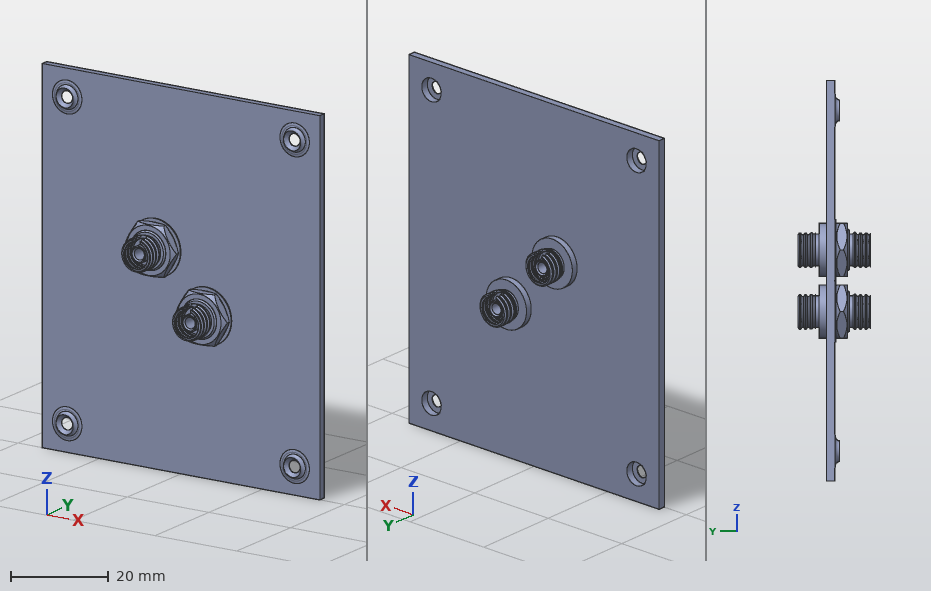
import cadquery as cq
import math

PLATE_WIDTH = 68.1
PLATE_HEIGHT = 82.0
PLATE_THICKNESS = 1.7

EYELET_X = 27.9
EYELET_Z = 34.9
EYELET_HEIGHT = 1.0
EYELET_BASE_RADIUS = 3.6
EYELET_TOP_RADIUS = 2.1
EYELET_SKIRT_RADIUS = 3.0
EYELET_SKIRT_HEIGHT = 0.12
EYELET_FLARE_RADIUS = 2.4
EYELET_FLARE_HEIGHT = 0.4
EYELET_BORE_RADIUS = 1.3
EYELET_HOLE_RADIUS = 2.6

ADAPTER_X = 6.2
ADAPTER_Z = 6.3
FRONT_END = -7.3
REAR_END = 7.55
BODY_RADIUS = 4.3
BODY_FRONT = -3.0
BODY_CHAMFER = 0.3
FLANGE_RADIUS = 5.5
FLANGE_THICKNESS = 1.5
FLANGE_REAR = PLATE_THICKNESS + FLANGE_THICKNESS
NECK_RADIUS = 3.3

WASHER_RADIUS = 6.2
WASHER_THICKNESS = 0.25
NUT_FLATS = 11.0
NUT_FRONT = -2.6
NUT_FACE_RADIUS = 5.3
NUT_CHAMFER_ANGLE = 40.0

THREAD_RADIUS = 3.6
THREAD_LENGTH = 3.6
THREAD_PITCH = 1.15
GROOVE_COUNT = 4
GROOVE_MOUTH = 0.9
GROOVE_ROOT = 0.3
REAR_FIRST_GROOVE = -0.2
FRONT_FIRST_GROOVE = 0.3

CAVITY_RADIUS = 2.9
CAVITY_DEPTH = 3.45
INNER_ROOT_RADIUS = 3.0
INNER_GROOVE_COUNT = 3
INNER_FIRST_GROOVE = 0.6
SLEEVE_RADIUS = 1.8
SLEEVE_RECESS = 1.0
BORE_RADIUS = 1.2
BORE_CHAMFER = 0.3
KEYWAY_WIDTH = 2.0
KEYWAY_DEPTH = 3.2

EYELET_PLACES = [(x, z) for x in (-EYELET_X, EYELET_X) for z in (-EYELET_Z, EYELET_Z)]
ADAPTER_PLACES = [(-ADAPTER_X, ADAPTER_Z), (ADAPTER_X, -ADAPTER_Z)]


def revolve_about_y(profile):
    return profile.close().revolve(360, (0, 0), (0, 1))


def cylinder_y(radius, y_from, y_to):
    return cq.Workplane("XZ", origin=(0, y_from, 0)).circle(radius).extrude(y_from - y_to)


def make_plate():
    plate = cq.Workplane("XY").box(
        PLATE_WIDTH, PLATE_THICKNESS, PLATE_HEIGHT, centered=(True, False, True)
    )
    for x, z in EYELET_PLACES:
        plate = plate.cut(cylinder_y(EYELET_HOLE_RADIUS, 0, PLATE_THICKNESS).translate((x, 0, z)))
    for x, z in ADAPTER_PLACES:
        plate = plate.cut(cylinder_y(BODY_RADIUS, 0, PLATE_THICKNESS).translate((x, 0, z)))
    return plate


def make_eyelet():
    profile = (
        cq.Workplane("XY")
        .moveTo(EYELET_BORE_RADIUS, 0)
        .lineTo(EYELET_TOP_RADIUS, -EYELET_HEIGHT)
        .threePointArc(
            (EYELET_FLARE_RADIUS, -EYELET_FLARE_HEIGHT),
            (EYELET_SKIRT_RADIUS, -EYELET_SKIRT_HEIGHT),
        )
        .lineTo(EYELET_BASE_RADIUS, 0)
    )
    return revolve_about_y(profile)


def make_nut():
    """Hexagon with corners on X, chamfered on both faces, on a round washer."""
    back = -WASHER_THICKNESS
    corner_radius = NUT_FLATS / math.sqrt(3)
    drop = (corner_radius - NUT_FACE_RADIUS) * math.tan(math.radians(NUT_CHAMFER_ANGLE))
    hexagon = (
        cq.Workplane("XZ", origin=(0, back, 0))
        .polygon(6, 2 * corner_radius)
        .extrude(back - NUT_FRONT)
    )
    chamfer_envelope = revolve_about_y(
        cq.Workplane("XY").polyline([
            (0, back),
            (NUT_FACE_RADIUS, back),
            (corner_radius, back - drop),
            (corner_radius, NUT_FRONT + drop),
            (NUT_FACE_RADIUS, NUT_FRONT),
            (0, NUT_FRONT),
        ])
    )
    washer = cylinder_y(WASHER_RADIUS, back, 0)
    return hexagon.intersect(chamfer_envelope).union(washer)


def thread_groove(y, crest_radius, root_radius):
    """Ring with a tapered section that narrows from the crest to the root."""
    return revolve_about_y(
        cq.Workplane("XY").polyline([
            (crest_radius, y - GROOVE_MOUTH / 2),
            (root_radius, y - GROOVE_ROOT / 2),
            (root_radius, y + GROOVE_ROOT / 2),
            (crest_radius, y + GROOVE_MOUTH / 2),
        ])
    )


def outer_thread(adapter, end, inward, first_groove):
    for i in range(GROOVE_COUNT):
        groove_y = end + inward * (first_groove + i * THREAD_PITCH)
        adapter = adapter.cut(thread_groove(groove_y, THREAD_RADIUS, NECK_RADIUS))
    return adapter


def sleeve_cavity(adapter, end, inward):
    """Annular space around the recessed sleeve, with ring grooves in its outer wall."""
    floor = end + inward * CAVITY_DEPTH
    sleeve = cylinder_y(SLEEVE_RADIUS, end + inward * SLEEVE_RECESS, floor)
    adapter = adapter.cut(cylinder_y(CAVITY_RADIUS, end, floor).cut(sleeve))
    for i in range(INNER_GROOVE_COUNT):
        groove_y = end + inward * (INNER_FIRST_GROOVE + i * THREAD_PITCH)
        adapter = adapter.cut(thread_groove(groove_y, CAVITY_RADIUS, INNER_ROOT_RADIUS))
    return adapter


def bore_lead_in(adapter, end, inward):
    sleeve_end = end + inward * SLEEVE_RECESS
    cone = revolve_about_y(
        cq.Workplane("XY").polyline([
            (0, sleeve_end),
            (BORE_RADIUS + BORE_CHAMFER, sleeve_end),
            (BORE_RADIUS, sleeve_end + inward * BORE_CHAMFER),
            (0, sleeve_end + inward * BORE_CHAMFER),
        ])
    )
    return adapter.cut(cone)


def keyway(adapter, end, inward):
    """Slot with a round inner end, cut through the top of the barrel wall into the cavity."""
    round_centre = end + inward * (KEYWAY_DEPTH - KEYWAY_WIDTH / 2)
    half_width = KEYWAY_WIDTH / 2
    slot = (
        cq.Workplane("XY")
        .moveTo(-half_width, end)
        .lineTo(-half_width, round_centre)
        .threePointArc((0, end + inward * KEYWAY_DEPTH), (half_width, round_centre))
        .lineTo(half_width, end)
        .close()
        .extrude(THREAD_RADIUS)
    )
    cavity = cylinder_y(CAVITY_RADIUS, end, end + inward * CAVITY_DEPTH)
    return adapter.cut(slot.cut(cavity))


def make_adapter():
    body = cylinder_y(BODY_RADIUS, BODY_FRONT, PLATE_THICKNESS).faces("<Y").chamfer(BODY_CHAMFER)
    adapter = (
        cylinder_y(NECK_RADIUS, FRONT_END, REAR_END)
        .union(body)
        .union(cylinder_y(FLANGE_RADIUS, PLATE_THICKNESS, FLANGE_REAR))
        .union(cylinder_y(THREAD_RADIUS, FRONT_END, FRONT_END + THREAD_LENGTH))
        .union(cylinder_y(THREAD_RADIUS, REAR_END - THREAD_LENGTH, REAR_END))
        .union(make_nut())
    )
    adapter = adapter.cut(cylinder_y(BORE_RADIUS, FRONT_END, REAR_END))
    barrels = [(FRONT_END, 1, FRONT_FIRST_GROOVE), (REAR_END, -1, REAR_FIRST_GROOVE)]
    for end, inward, first_groove in barrels:
        adapter = outer_thread(adapter, end, inward, first_groove)
        adapter = sleeve_cavity(adapter, end, inward)
        adapter = bore_lead_in(adapter, end, inward)
        adapter = keyway(adapter, end, inward)
    return adapter


plate = make_plate()
eyelets = [make_eyelet().translate((x, 0, z)) for x, z in EYELET_PLACES]
adapters = [make_adapter().translate((x, 0, z)) for x, z in ADAPTER_PLACES]

result = cq.Compound.makeCompound(
    [body.solids().val() for body in [plate, *eyelets, *adapters]]
)